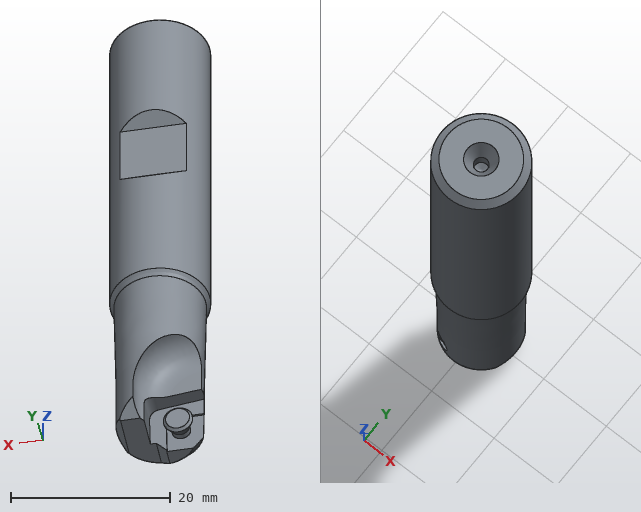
import cadquery as cq
import math

total_length = 69.3
shank_radius = 6.34
shank_chamfer = 1.05
shank_chamfer_height = 0.9
shank_bottom = 24.1
collar_height = 23.7
collar_radius = 6.0
neck_top = 23.3
neck_top_radius = 5.8
head_top = 9.1
head_radius = 5.55

tip_face = 1.25
tip_chamfer_height = 1.45
tip_chamfer_width = 1.1
side_bevel = 1.05
back_bevel_start = 2.9
lobe_half_width = 1.95

centre_radius = 1.0
countersink_radius = 2.2
countersink_half_angle = 30
centre_depth = 4.15
drill_point_half_angle = 59

flat_depth = 1.6
flat_bottom = 42.4
flat_top = 50.85

flute_wall = 1.05
flute_floor = 2.55
flute_runout_start = 5.4
flute_runout_radius = 8.5
flute_corner = 3.9

seat_tilt = 8.0
seat_x = -2.35
seat_y = -1.6
seat_z = 2.85
pocket_wall = 3.95
pocket_ceiling_inner = 3.45
pocket_ceiling_outer = 4.35
pocket_corner = 1.45
recess_depth = 0.3
recess_top = 2.1
recess_inner = 1.9
screw_radius = 1.2
screw_tip_depth = 2.9
screw_tip_chamfer = 0.15
screw_head_radius = 1.9
screw_head_top = 2.4
screw_head_base = 0.55
screw_head_chamfer = 0.35

clear = 2 * shank_radius
margin = 0.7


def seat_plane():
    """Plane parallel to the insert seat: x outwards (-X), y up, normal along the screw (+Y)."""
    tilt = math.radians(seat_tilt)
    normal = cq.Vector(0, math.cos(tilt), -math.sin(tilt))
    return cq.Plane(origin=(seat_x, seat_y, seat_z), xDir=(-1, 0, 0), normal=normal)


def turned_blank():
    return (
        cq.Workplane("XZ")
        .moveTo(0, 0)
        .lineTo(head_radius - tip_chamfer_width, 0)
        .lineTo(head_radius, tip_chamfer_height)
        .lineTo(head_radius, head_top)
        .lineTo(neck_top_radius, neck_top)
        .lineTo(collar_radius, collar_height)
        .lineTo(shank_radius, shank_bottom)
        .lineTo(shank_radius, total_length - shank_chamfer_height)
        .lineTo(shank_radius - shank_chamfer, total_length)
        .lineTo(0, total_length)
        .close()
        .revolve(360, (0, 0), (0, 1))
    )


def centre_hole():
    sink_depth = (countersink_radius - centre_radius) / math.tan(math.radians(countersink_half_angle))
    point_length = centre_radius / math.tan(math.radians(drill_point_half_angle))
    return (
        cq.Workplane("XZ")
        .moveTo(0, total_length)
        .lineTo(countersink_radius, total_length)
        .lineTo(centre_radius, total_length - sink_depth)
        .lineTo(centre_radius, total_length - centre_depth)
        .lineTo(0, total_length - centre_depth - point_length)
        .close()
        .revolve(360, (0, 0), (0, 1))
    )


def clamping_flat():
    """Flat with 45 degree end walls, cut straight across the shank."""
    floor = shank_radius - flat_depth
    rise = clear - floor
    return (
        cq.Workplane("YZ")
        .moveTo(floor, flat_bottom)
        .lineTo(floor, flat_top)
        .lineTo(clear, flat_top + rise)
        .lineTo(clear, flat_bottom - rise)
        .close()
        .extrude(clear, both=True)
    )


def tip_relief():
    """Material below the end face, except the lobe that backs up the insert."""
    slab = cq.Workplane("XY").box(2 * clear, 2 * clear, tip_face, centered=(True, True, False))
    lobe = (
        cq.Workplane("XZ")
        .moveTo(seat_x - lobe_half_width, 0)
        .lineTo(seat_x + lobe_half_width, 0)
        .lineTo(seat_x + lobe_half_width + tip_face, tip_face)
        .lineTo(seat_x - lobe_half_width - tip_face, tip_face)
        .close()
        .extrude(clear)
    )
    return slab.cut(lobe)


def bevel(plane, start):
    """45 degree planar cut that leaves the end face at the given distance from the axis."""
    return (
        cq.Workplane(plane)
        .moveTo(start, tip_face)
        .lineTo(start + clear, tip_face + clear)
        .lineTo(start + clear, tip_face)
        .close()
        .extrude(clear, both=True)
    )


def flute():
    """Straight channel with a rounded corner and a run-out arc at its upper end."""
    arc_x = flute_floor - flute_runout_radius
    diagonal = flute_runout_radius * math.sqrt(0.5)
    return (
        cq.Workplane("XZ", origin=(0, flute_wall, 0))
        .moveTo(-clear, -clear)
        .lineTo(flute_floor, -clear)
        .lineTo(flute_floor, flute_runout_start)
        .threePointArc(
            (arc_x + diagonal, flute_runout_start + diagonal),
            (arc_x, flute_runout_start + flute_runout_radius),
        )
        .lineTo(-clear, flute_runout_start + flute_runout_radius)
        .close()
        .extrude(-clear)
        .faces("<Y")
        .edges(cq.selectors.BoxSelector(
            (arc_x + margin, flute_wall - margin, -clear),
            (flute_floor + margin, flute_wall + margin, flute_runout_start + flute_runout_radius),
        ))
        .fillet(flute_corner)
    )


def insert_pocket():
    """Open-sided pocket with a sloping ceiling and a rounded inner corner."""
    corner_middle = seat_plane().toWorldCoords((-pocket_wall, pocket_ceiling_inner, clear / 2))
    return (
        cq.Workplane(seat_plane())
        .moveTo(-pocket_wall, -clear)
        .lineTo(-pocket_wall, pocket_ceiling_inner)
        .lineTo(head_radius + seat_x, pocket_ceiling_outer)
        .lineTo(clear, pocket_ceiling_outer)
        .lineTo(clear, -clear)
        .close()
        .extrude(clear)
        .edges(cq.selectors.NearestToPointSelector(corner_middle.toTuple()))
        .fillet(pocket_corner)
    )


def seat_recess():
    """Shallow step in the seat round the screw, open to the outside."""
    return (
        cq.Workplane(seat_plane())
        .moveTo(-recess_inner, recess_top)
        .lineTo(clear, recess_top)
        .lineTo(clear, -clear)
        .lineTo(-recess_inner, -clear)
        .close()
        .extrude(-recess_depth)
    )


def screw_hole():
    return cq.Workplane(seat_plane()).circle(screw_radius).extrude(-clear)


def make_holder():
    return (
        turned_blank()
        .cut(centre_hole())
        .cut(clamping_flat())
        .cut(tip_relief())
        .cut(bevel("XZ", head_radius - side_bevel))
        .cut(bevel("YZ", back_bevel_start))
        .cut(flute())
        .cut(insert_pocket())
        .cut(seat_recess())
        .cut(screw_hole())
    )


def make_screw():
    """Countersunk screw standing in the seat, turned about its own axis."""
    half_profile = (
        cq.Workplane(seat_plane().rotated((90, 0, 0)))
        .moveTo(0, -screw_tip_depth)
        .lineTo(screw_radius - screw_tip_chamfer, -screw_tip_depth)
        .lineTo(screw_radius, screw_tip_chamfer - screw_tip_depth)
        .lineTo(screw_radius, screw_head_base)
        .lineTo(screw_head_radius, screw_head_top - screw_head_chamfer)
        .lineTo(screw_head_radius - screw_head_chamfer, screw_head_top)
        .lineTo(0, screw_head_top)
        .close()
    )
    return half_profile.revolve(360, (0, 0), (0, 1))


holder = make_holder()
screw = make_screw()
result = cq.Compound.makeCompound([holder.solids().val(), screw.val()])